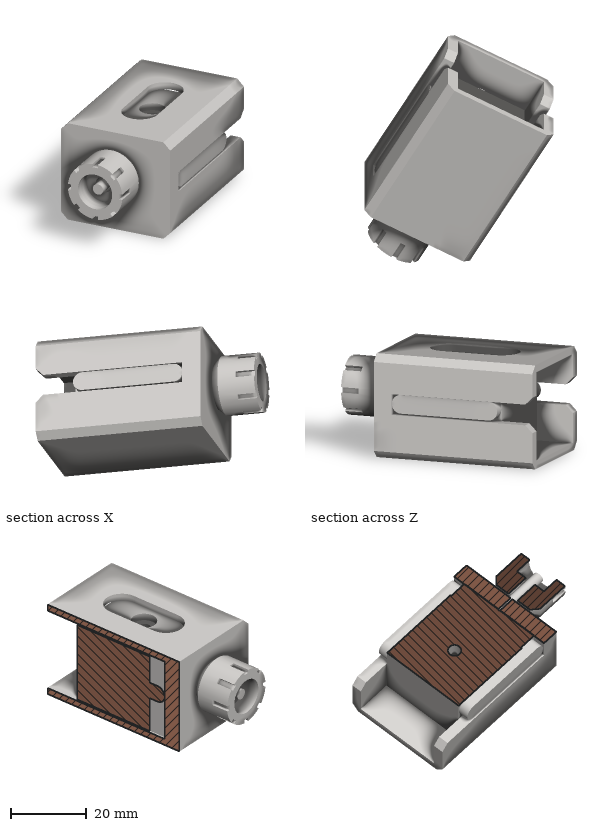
import cadquery as cq

width = 32.0
height = 28.0
axis_below_top = 12.0
sleeve_length = 40.0
edge_chamfer = 2.0

side_wall = 3.0
top_wall = 2.0
guide_height = 5.6
guide_center_z = -1.1
mouth_chamfer = 2.0
window_length = 25.0
window_width = 10.0
window_center_y = 17.5

plate_thickness = 5.0

carriage_length = 30.0
carriage_rear_length = 5.0
carriage_rear_relief = 0.3
carriage_clearance = 0.3
rail_length = 29.9
rail_height = 5.0
rail_center_z = -0.9
rail_inset = 0.3
counterbore_diameter = 7.0
counterbore_depth = 2.0
mount_hole_diameter = 3.4

knob_gap = 0.5
knob_diameter = 16.0
knob_length = 11.95
knob_nose_diameter = 12.55
knob_nose_length = 1.95
knob_hole_diameter = 4.5
grip_length = 5.0
bore_diameter = 10.0
bore_depth = 5.0
screw_diameter = 3.0
screw_clearance_diameter = 3.2
screw_tip_length = 3.3
groove_count = 8
groove_width = 1.55
groove_depth = 1.0

top_z = axis_below_top
bottom_z = top_z - height
center_z = (top_z + bottom_z) / 2
cavity_width = width - 2 * side_wall
cavity_height = height - 2 * top_wall
carriage_width = cavity_width - 2 * carriage_clearance
carriage_height = cavity_height - 2 * carriage_clearance
carriage_top_z = top_z - top_wall - carriage_clearance
plate_front_y = -plate_thickness
knob_back_y = plate_front_y - knob_gap
knob_front_y = knob_back_y - knob_length
bore_floor_y = knob_front_y + bore_depth


def block(size_x, size_z, y_start, y_end, z):
    """Box centred on X = 0 and on the height z, spanning y_start to y_end."""
    return cq.Workplane("XY").box(size_x, y_end - y_start, size_z).translate((0, (y_start + y_end) / 2, z))


def rod(diameter, y_start, y_end):
    """Cylinder on the knob axis from y_start toward -Y down to y_end."""
    return cq.Workplane("XZ", origin=(0, y_start, 0)).circle(diameter / 2).extrude(y_start - y_end)


def outer_block(y_start, y_end):
    """Block of the full outer section with its four long edges chamfered."""
    return block(width, height, y_start, y_end, center_z).edges("|Y").chamfer(edge_chamfer)


def make_housing():
    """Sleeve open toward +Y, closed by an end plate, with guide slots and a top window."""
    sleeve = outer_block(0, sleeve_length)
    sleeve = sleeve.cut(block(cavity_width, cavity_height, 0, sleeve_length, center_z))
    half_guide = guide_height / 2
    guide = (
        cq.Workplane("YZ", origin=(-width / 2, 0, guide_center_z))
        .moveTo(0, -half_guide)
        .lineTo(sleeve_length - mouth_chamfer, -half_guide)
        .lineTo(sleeve_length, -half_guide - mouth_chamfer)
        .lineTo(sleeve_length, half_guide + mouth_chamfer)
        .lineTo(sleeve_length - mouth_chamfer, half_guide)
        .lineTo(0, half_guide)
        .close()
        .extrude(width)
    )
    window = (
        cq.Workplane("XY", origin=(0, window_center_y, top_z - top_wall))
        .slot2D(window_length, window_width, 90)
        .extrude(top_wall)
    )
    plate = outer_block(plate_front_y, 0)
    plate = plate.cut(rod(screw_clearance_diameter, 0, plate_front_y))
    return sleeve.cut(guide).cut(window).union(plate)


def make_carriage():
    """Sliding block with a rounded guide rail on each side and a counterbored mounting hole."""
    rear_width = carriage_width - 2 * carriage_rear_relief
    rear = block(rear_width, carriage_height, 0, carriage_rear_length, center_z)
    front = block(carriage_width, carriage_height, carriage_rear_length, carriage_length, center_z)
    body = rear.union(front)
    rail_span = width - 2 * rail_inset
    rails = (
        cq.Workplane("YZ", origin=(-rail_span / 2, rail_length / 2, rail_center_z))
        .slot2D(rail_length, rail_height)
        .extrude(rail_span)
    )
    hole = (
        cq.Workplane("XY", origin=(0, window_center_y, carriage_top_z))
        .circle(mount_hole_diameter / 2)
        .extrude(-carriage_height)
    )
    counterbore = (
        cq.Workplane("XY", origin=(0, window_center_y, carriage_top_z))
        .circle(counterbore_diameter / 2)
        .extrude(-counterbore_depth)
    )
    return body.union(rails).cut(hole).cut(counterbore)


def make_knob():
    """Hollow knob with a conical nose and gripping grooves around its front half."""
    nose_front_y = knob_back_y - knob_nose_length
    body = rod(knob_diameter, nose_front_y, knob_front_y)
    nose = (
        cq.Workplane("XZ", origin=(0, nose_front_y, 0))
        .circle(knob_diameter / 2)
        .workplane(offset=-knob_nose_length)
        .circle(knob_nose_diameter / 2)
        .loft()
    )
    body = body.union(nose)
    groove = block(groove_width, 2 * groove_depth, knob_front_y, knob_front_y + grip_length, knob_diameter / 2)
    for index in range(groove_count):
        body = body.cut(groove.rotate((0, 0, 0), (0, 1, 0), index * 360 / groove_count))
    body = body.cut(rod(bore_diameter, bore_floor_y, knob_front_y))
    return body.cut(rod(knob_hole_diameter, knob_back_y, knob_front_y))


def make_screw():
    """Plain shank from the carriage through the housing and the knob."""
    return rod(screw_diameter, 0, bore_floor_y - screw_tip_length)


housing = make_housing()
carriage = make_carriage()
knob = make_knob()
screw = make_screw()

result = cq.Compound.makeCompound([housing.val(), carriage.val(), knob.val(), screw.val()])